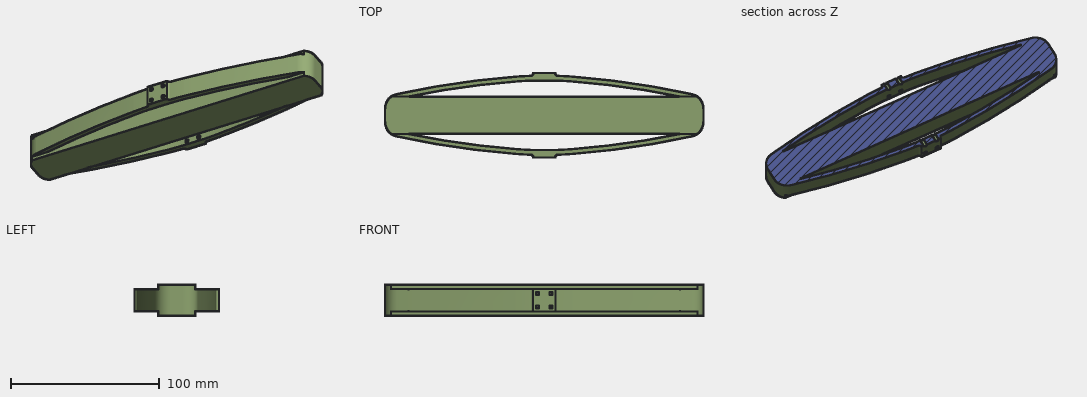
import math

import cadquery as cq

overall_length = 214.15
overall_width = 56.97
bar_width = 25.0
bar_height = 21.0

arm_height = 15.0
arm_thickness = 3.42
bow_radius = 580.0
bow_center_offset = 25.0
bow_crest = 27.73
crown_half_length = 19.15
end_radius = 10.0

pad_face_y = overall_width / 2
pad_width = 15.0
pad_root_radius = 1.5
inner_flat_width = 19.0
hole_spacing = 9.0
hole_diameter = 2.2

bow_center_y = bow_crest - bow_radius
crown_slope_sine = (crown_half_length + bow_center_offset) / bow_radius
crown_slope_cosine = math.sqrt(1 - crown_slope_sine**2)
crown_radius = crown_half_length / crown_slope_sine
crown_center_y = bow_center_y + (bow_radius - crown_radius) * crown_slope_cosine

end_center_x = overall_length / 2 - end_radius
end_center_distance = bow_radius - end_radius
end_normal_sine = (end_center_x + bow_center_offset) / end_center_distance
end_normal_cosine = math.sqrt(1 - end_normal_sine**2)
end_center_y = bow_center_y + end_center_distance * end_normal_cosine


def bow_point(x, inset):
    """Point on the long arc, moved inward by inset."""
    radius = bow_radius - inset
    return (x, bow_center_y + math.sqrt(radius**2 - (x + bow_center_offset) ** 2))


def crown_end(inset):
    """Point where the inset long arc meets the inset crown arc."""
    radius = crown_radius - inset
    return (radius * crown_slope_sine, crown_center_y + radius * crown_slope_cosine)


def crown_y(x, inset):
    """Y of the inset crown arc at the given x."""
    return crown_center_y + math.sqrt((crown_radius - inset) ** 2 - x**2)


def flip_x(point):
    return (-point[0], point[1])


def prism(outline, height):
    """Extrude an outline, centered on Z = 0."""
    return outline.extrude(height / 2, both=True)


def outer_lens():
    """Solid inside the outer outline of both arms."""
    end_low = (overall_length / 2, end_center_y)
    half_corner = (math.pi / 2 - math.asin(end_normal_sine)) / 2
    end_mid = (
        end_center_x + end_radius * math.cos(half_corner),
        end_center_y + end_radius * math.sin(half_corner),
    )
    end_high = (
        end_center_x + end_radius * end_normal_sine,
        end_center_y + end_radius * end_normal_cosine,
    )
    crown = crown_end(0)
    bow_mid = bow_point((end_high[0] + crown[0]) / 2, 0)
    crest = (0, crown_y(0, 0))
    half_outline = (
        cq.Workplane("XY")
        .moveTo(overall_length / 2, 0)
        .lineTo(*end_low)
        .threePointArc(end_mid, end_high)
        .threePointArc(bow_mid, crown)
        .threePointArc(crest, flip_x(crown))
        .threePointArc(flip_x(bow_mid), flip_x(end_high))
        .threePointArc(flip_x(end_mid), flip_x(end_low))
        .lineTo(-overall_length / 2, 0)
    )
    return half_outline.mirrorX()


def window():
    """Gap between the bar and the arm on the positive Y side."""
    side_y = bar_width / 2
    inner_radius = bow_radius - arm_thickness
    tip_x = math.sqrt(inner_radius**2 - (side_y - bow_center_y) ** 2) - bow_center_offset
    tip = (tip_x, side_y)
    crown = crown_end(arm_thickness)
    bow_mid = bow_point((tip_x + crown[0]) / 2, arm_thickness)
    flat_x = inner_flat_width / 2
    flat = (flat_x, crown_y(flat_x, arm_thickness))
    crown_mid_x = (crown[0] + flat_x) / 2
    crown_mid = (crown_mid_x, crown_y(crown_mid_x, arm_thickness))
    return (
        cq.Workplane("XY")
        .moveTo(0, side_y)
        .lineTo(*tip)
        .threePointArc(bow_mid, crown)
        .threePointArc(crown_mid, flat)
        .lineTo(0, flat[1])
        .mirrorY()
    )


def pad():
    """Raised pad on the positive Y arm, flared into the crown by concave rounds."""
    half_width = pad_width / 2
    round_center_x = half_width + pad_root_radius
    round_center_y = crown_center_y + math.sqrt(
        (crown_radius + pad_root_radius) ** 2 - round_center_x**2
    )
    round_top = (half_width, round_center_y)
    foot_scale = crown_radius / (crown_radius + pad_root_radius)
    foot = (
        round_center_x * foot_scale,
        crown_center_y + (round_center_y - crown_center_y) * foot_scale,
    )
    diagonal = pad_root_radius * math.sqrt(0.5)
    round_mid = (round_center_x - diagonal, round_center_y - diagonal)
    root = (foot[0], foot[1] - arm_thickness / 2)
    return (
        cq.Workplane("XY")
        .moveTo(0, root[1])
        .lineTo(*root)
        .lineTo(*foot)
        .threePointArc(round_mid, round_top)
        .lineTo(half_width, pad_face_y)
        .lineTo(0, pad_face_y)
        .mirrorY()
    )


def pad_holes():
    """Four holes through the pad and arm on the positive Y side."""
    depth = pad_face_y - bar_width / 2
    return (
        cq.Workplane("XZ", origin=(0, pad_face_y, 0))
        .rect(hole_spacing, hole_spacing, forConstruction=True)
        .vertices()
        .circle(hole_diameter / 2)
        .extrude(depth)
    )


def both_sides(solid):
    """Pair a solid with its mirror image on the negative Y side."""
    return solid.union(solid.mirror("XZ"))


arms = (
    prism(outer_lens(), arm_height)
    .union(both_sides(prism(pad(), arm_height)))
    .cut(both_sides(prism(window(), arm_height)))
    .cut(both_sides(pad_holes()))
)
bar = prism(outer_lens(), bar_height).intersect(
    cq.Workplane("XY").box(overall_length, bar_width, bar_height)
)
result = arms.union(bar)